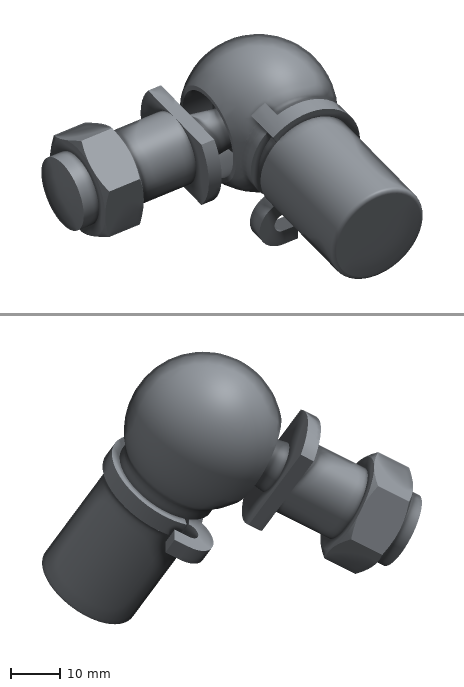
import cadquery as cq
import math

housing_radius = 16.05
opening_y = -12.1
opening_diameter = 19.0
barrel_radius = 22.0 / 2
barrel_end_x = 45.1
barrel_end_fillet = 0.9
neck_fillet = 1.9

groove_radius = 9.05
groove_start_x = 14.35
groove_width = 3.65
clip_radius = 12.8
tab_angle = 30.0
tab_width = 3.85
tab_start_x = 9.8
tab_inner_radius = 10.6
hook_center_y = -5.45
hook_center_z = -13.55
hook_outer_radius = 5.8
hook_inner_radius = 2.2
hook_tip_y = -2.05

stud_ball_radius = opening_diameter / 2
stud_neck_ball_radius = 4.25
stud_neck_radius = 4.75
stud_neck_base_radius = 5.6
stud_diameter = 16.0
collar_radius = 12.8
collar_start_y = -17.0
collar_thickness = 3.1
shank_end_y = -46.95
stud_tip_y = -48.1
nut_start_y = -34.1
nut_thickness = 9.25
nut_across_flats = 20.85
nut_chamfer_angle = 30.0


def cylinder_x(radius, start, length):
    return cq.Workplane("YZ", origin=(start, 0, 0)).circle(radius).extrude(length)


def cylinder_y(radius, start, length):
    """Cylinder that runs from start towards -Y."""
    return cq.Workplane("XZ", origin=(0, start, 0)).circle(radius).extrude(length)


def make_housing():
    fillet_y = barrel_radius + neck_fillet
    fillet_x = math.sqrt((housing_radius + neck_fillet) ** 2 - fillet_y**2)
    touch = housing_radius / (housing_radius + neck_fillet)
    fillet_mid_angle = (math.atan2(fillet_y, fillet_x) + math.pi / 2) / 2
    fillet_mid = (
        fillet_x - neck_fillet * math.cos(fillet_mid_angle),
        fillet_y - neck_fillet * math.sin(fillet_mid_angle),
    )
    body = (
        cq.Workplane("XY")
        .moveTo(-housing_radius, 0)
        .threePointArc((0, housing_radius), (fillet_x * touch, fillet_y * touch))
        .threePointArc(fillet_mid, (fillet_x, barrel_radius))
        .lineTo(barrel_end_x, barrel_radius)
        .lineTo(barrel_end_x, 0)
        .close()
        .revolve(360, (0, 0, 0), (1, 0, 0))
        .faces(">X")
        .edges()
        .fillet(barrel_end_fillet)
    )
    body = body.cut(cylinder_y(housing_radius, opening_y, housing_radius))
    groove = cylinder_x(housing_radius, groove_start_x, groove_width)
    body = body.cut(groove.cut(cylinder_x(groove_radius, groove_start_x, groove_width)))
    seat = cylinder_y(opening_diameter / 2, 0, housing_radius)
    return body.cut(seat)


def make_clip():
    reach = 2 * clip_radius
    tab = math.radians(tab_angle)
    out_y, out_z = -math.sin(tab), math.cos(tab)
    side_y, side_z = -math.cos(tab) * tab_width / 2, -math.sin(tab) * tab_width / 2
    gap = (
        cq.Workplane("YZ", origin=(groove_start_x, 0, 0))
        .moveTo(side_y, side_z)
        .lineTo(side_y + reach * out_y, side_z + reach * out_z)
        .lineTo(-reach, hook_center_z)
        .lineTo(hook_center_y, hook_center_z)
        .close()
        .extrude(groove_width)
    )
    ring = cylinder_x(clip_radius, groove_start_x, groove_width)
    ring = ring.cut(cylinder_x(groove_radius, groove_start_x, groove_width)).cut(gap)

    hook = (
        cq.Workplane("YZ", origin=(groove_start_x, 0, 0))
        .moveTo(hook_center_y, hook_center_z + hook_outer_radius)
        .threePointArc(
            (hook_center_y - hook_outer_radius, hook_center_z),
            (hook_center_y, hook_center_z - hook_outer_radius),
        )
        .lineTo(hook_tip_y, hook_center_z - hook_outer_radius)
        .lineTo(hook_tip_y, hook_center_z - hook_inner_radius)
        .lineTo(hook_center_y, hook_center_z - hook_inner_radius)
        .threePointArc(
            (hook_center_y - hook_inner_radius, hook_center_z),
            (hook_center_y, hook_center_z + hook_inner_radius),
        )
        .close()
        .extrude(groove_width)
    )

    tab_length = groove_start_x + groove_width - tab_start_x
    tab_block = (
        cq.Workplane("XY", origin=(0, 0, tab_inner_radius))
        .rect(tab_length, tab_width)
        .extrude(clip_radius)
        .translate((tab_start_x + tab_length / 2, 0, 0))
        .rotate((0, 0, 0), (1, 0, 0), tab_angle)
        .intersect(cylinder_x(clip_radius, tab_start_x, tab_length))
    )
    return ring.union(hook).union(tab_block)


def make_nut():
    corner_radius = nut_across_flats / 2 / math.cos(math.pi / 6)
    chamfer = (corner_radius - nut_across_flats / 2) * math.tan(math.radians(nut_chamfer_angle))
    nut = (
        cq.Workplane("XZ", origin=(0, nut_start_y, 0))
        .polygon(6, 2 * corner_radius)
        .extrude(nut_thickness)
        .rotate((0, 0, 0), (0, 1, 0), 90)
    )
    envelope = (
        cylinder_y(corner_radius, nut_start_y, nut_thickness)
        .faces("<Y or >Y")
        .edges()
        .chamfer(chamfer, corner_radius - nut_across_flats / 2)
    )
    return nut.intersect(envelope)


def make_stud():
    stud_radius = stud_diameter / 2
    neck_start_y = -math.sqrt(stud_ball_radius**2 - stud_neck_ball_radius**2)
    dome_height = shank_end_y - stud_tip_y
    dome_radius = (stud_radius**2 + dome_height**2) / (2 * dome_height)
    dome_mid_x = stud_radius / 2
    dome_mid_y = stud_tip_y + dome_radius - math.sqrt(dome_radius**2 - dome_mid_x**2)
    stud = (
        cq.Workplane("XY")
        .lineTo(stud_neck_ball_radius, 0)
        .lineTo(stud_neck_ball_radius, neck_start_y)
        .threePointArc((stud_neck_radius, opening_y), (stud_neck_base_radius, collar_start_y))
        .lineTo(stud_radius, collar_start_y)
        .lineTo(stud_radius, shank_end_y)
        .threePointArc((dome_mid_x, dome_mid_y), (0, stud_tip_y))
        .close()
        .revolve(360, (0, 0, 0), (0, 1, 0))
    )
    ball = cq.Workplane("XY").sphere(stud_ball_radius)
    flats = cq.Workplane("XY").box(2 * collar_radius, 4 * collar_radius, stud_diameter)
    collar = cylinder_y(collar_radius, collar_start_y, collar_thickness)
    return stud.union(ball).union(collar.intersect(flats))


result = make_housing().union(make_clip()).union(make_stud()).union(make_nut())